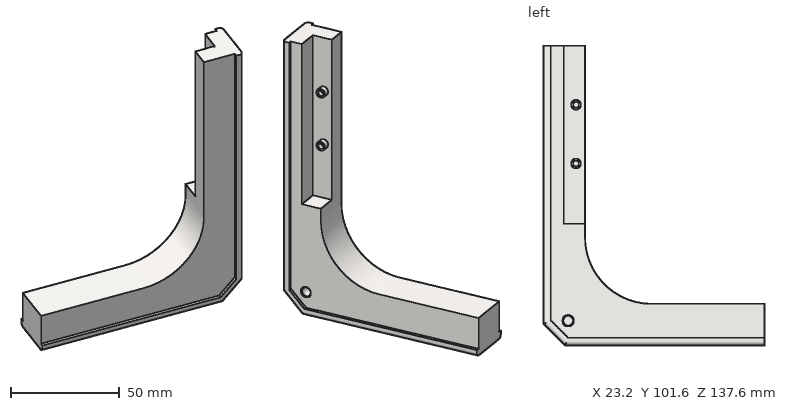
import cadquery as cq
import math

TOTAL_WIDTH = 23.2
TOTAL_DEPTH = 101.61
TOTAL_HEIGHT = 137.64

ARM_THICKNESS = 19.2
INNER_RADIUS = 30.4
CORNER_CHAMFER = 10.0
BEVEL_ANGLE = math.radians(45)

LIP_WIDTH = 1.6
LIP_THICKNESS = 3.5
LIP_ROUND = 2.0
BODY_WIDTH = TOTAL_WIDTH - 2 * LIP_WIDTH

POCKET_LENGTH = 81.8
POCKET_SPAN_Y = 9.9
POCKET_FLOOR_X = 0.6

PIN_DIAMETER = 4.5
PIN_BORE = 2.7
PIN_LENGTH = 3.0
PIN_PITCH = 27.0
PIN_TOP_OFFSET = 27.1
PIN_COUNT = 2
PIN_INSET = 4.2

CORNER_HOLE_DIAMETER = 4.5
CORNER_HOLE_CHAMFER = 0.4
CORNER_HOLE_DEPTH = 10.0
CORNER_HOLE_INSET = 11.4

BACK_Y = TOTAL_DEPTH
INNER_Y = BACK_Y - ARM_THICKNESS
BODY_SIDE_X = -BODY_WIDTH / 2


def side_plane(x):
    """Sketch plane facing +X: local x is Y, local y is Z."""
    return cq.Workplane("YZ", origin=(x, 0, 0))


def outer_edge(x):
    """Start an outline along the bottom, the bevel and the back, ending at the top."""
    return (
        side_plane(x)
        .moveTo(0, 0)
        .lineTo(BACK_Y - CORNER_CHAMFER, 0)
        .lineTo(BACK_Y, CORNER_CHAMFER)
        .lineTo(BACK_Y, TOTAL_HEIGHT)
    )


def make_body():
    """Two arms joined by a large inner radius and a bevelled outer corner."""
    arc_rise = INNER_RADIUS * (1 - math.sqrt(0.5))
    return (
        outer_edge(BODY_SIDE_X)
        .lineTo(INNER_Y, TOTAL_HEIGHT)
        .lineTo(INNER_Y, ARM_THICKNESS + INNER_RADIUS)
        .threePointArc(
            (INNER_Y - arc_rise, ARM_THICKNESS + arc_rise),
            (INNER_Y - INNER_RADIUS, ARM_THICKNESS),
        )
        .lineTo(0, ARM_THICKNESS)
        .close()
        .extrude(BODY_WIDTH)
    )


def make_lip_band():
    """Full-width band of constant thickness along the outer edge, with square edges."""
    inner_bend = CORNER_CHAMFER + LIP_THICKNESS * math.tan(BEVEL_ANGLE / 2)
    return (
        outer_edge(-TOTAL_WIDTH / 2)
        .lineTo(BACK_Y - LIP_THICKNESS, TOTAL_HEIGHT)
        .lineTo(BACK_Y - LIP_THICKNESS, inner_bend)
        .lineTo(BACK_Y - inner_bend, LIP_THICKNESS)
        .lineTo(0, LIP_THICKNESS)
        .close()
        .extrude(TOTAL_WIDTH)
    )


def round_outer_edges(part):
    """Round both side edges of the bottom, bevel and back faces."""
    bevel_selector = cq.selectors.DirectionMinMaxSelector(cq.Vector(0, 1, -1))
    outer_faces = part.faces("<Z").add(part.faces(">Y")).add(part.faces(bevel_selector))
    return outer_faces.edges("not |X").edges("<X or >X").fillet(LIP_ROUND)


def make_pocket():
    """Recess cut from the -X side, leaving a flat floor facing -X."""
    return cq.Workplane("XY").box(
        POCKET_FLOOR_X + TOTAL_WIDTH / 2,
        POCKET_SPAN_Y,
        POCKET_LENGTH,
        centered=False,
    ).translate((-TOTAL_WIDTH / 2, INNER_Y, TOTAL_HEIGHT - POCKET_LENGTH))


def make_pin(z):
    """Hollow pin standing on the pocket floor, pointing to -X."""
    return (
        side_plane(POCKET_FLOOR_X)
        .center(INNER_Y + PIN_INSET, z)
        .circle(PIN_DIAMETER / 2)
        .circle(PIN_BORE / 2)
        .extrude(-PIN_LENGTH)
    )


def make_corner_hole():
    """Blind round hole entering the -X side of the body, with a chamfered rim."""
    radius = CORNER_HOLE_DIAMETER / 2
    entry = side_plane(BODY_SIDE_X).center(BACK_Y - CORNER_HOLE_INSET, CORNER_HOLE_INSET)
    hole = entry.circle(radius).extrude(CORNER_HOLE_DEPTH)
    rim = entry.circle(radius + CORNER_HOLE_CHAMFER).extrude(CORNER_HOLE_CHAMFER, taper=45)
    return hole.union(rim)


result = round_outer_edges(make_body().union(make_lip_band()))
result = result.cut(make_pocket()).cut(make_corner_hole())
for pin_number in range(PIN_COUNT):
    pin_z = TOTAL_HEIGHT - PIN_TOP_OFFSET - pin_number * PIN_PITCH
    result = result.union(make_pin(pin_z))